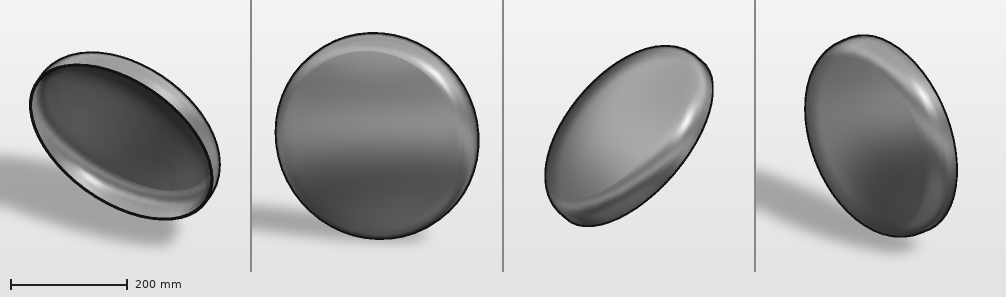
import cadquery as cq
import math

outer_diameter = 355.5
inner_diameter = 349.5
total_height = 87.0
crown_radius = outer_diameter
knuckle_radius = 0.1 * outer_diameter

outer_radius = outer_diameter / 2
inner_radius = inner_diameter / 2
wall = outer_radius - inner_radius
knuckle_center_x = inner_radius - knuckle_radius

center_distance = crown_radius - knuckle_radius
crown_half_angle = math.asin(knuckle_center_x / center_distance)
crown_center_y = total_height - wall - crown_radius
flange_height = crown_center_y + center_distance * math.cos(crown_half_angle)


def knuckle_point(radius, angle):
    """Point on a knuckle arc, with the angle measured from the Y axis."""
    return (knuckle_center_x + radius * math.sin(angle), flange_height + radius * math.cos(angle))


def flange_and_knuckle():
    """Straight flange and rounded knuckle, ending where the crown begins."""
    outer_knuckle_radius = knuckle_radius + wall
    middle_angle = (crown_half_angle + math.pi / 2) / 2
    return (
        cq.Workplane("XY")
        .moveTo(inner_radius, 0)
        .lineTo(outer_radius, 0)
        .lineTo(outer_radius, flange_height)
        .threePointArc(
            knuckle_point(outer_knuckle_radius, middle_angle),
            knuckle_point(outer_knuckle_radius, crown_half_angle),
        )
        .lineTo(*knuckle_point(knuckle_radius, crown_half_angle))
        .threePointArc(knuckle_point(knuckle_radius, middle_angle), (inner_radius, flange_height))
        .close()
        .revolve(360, (0, 0, 0), (0, 1, 0))
    )


def crown():
    """Part of a spherical shell inside a cone that has its tip at the crown center."""
    outer_crown_radius = crown_radius + wall
    shell = cq.Workplane("XY").sphere(outer_crown_radius).cut(cq.Workplane("XY").sphere(crown_radius))
    cone_height = 1.2 * outer_crown_radius
    cone = (
        cq.Workplane("XY")
        .lineTo(cone_height * math.tan(crown_half_angle), cone_height)
        .lineTo(0, cone_height)
        .close()
        .revolve(360, (0, 0, 0), (0, 1, 0))
    )
    return shell.intersect(cone).translate((0, crown_center_y, 0))


result = flange_and_knuckle().union(crown()).solids()